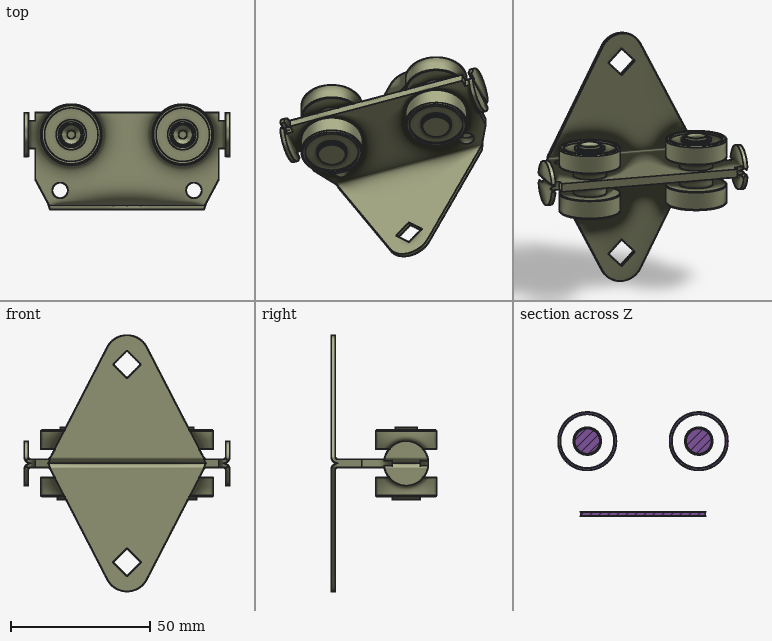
import cadquery as cq
import math

sheet = 1.5
bend_inner_radius = 0.8
bend_outer_radius = bend_inner_radius + sheet
bend_angle = 90.0

base_half_width = 33.0
base_back_y = 8.0
base_taper_y = -16.0
front_y = -26.9
front_bend_y = front_y + bend_outer_radius
mount_hole_diameter = 5.5
mount_hole_x = 24.0
mount_hole_y = -20.0

bend_half_width = 28.4
flange_half_width = 27.4
flange_half_height = 46.015
tip_radius = 8.0
square_hole_side = 7.0
square_hole_z = 35.5

ear_outer_x = 36.9
ear_radius = 8.0
ear_bend_x = ear_outer_x - bend_outer_radius
ear_relief_angle = 53.0
neck_half_width = 5.0

axle_x = 20.0
wheel_radius = 11.0
wheel_inner_z = 5.0
wheel_outer_z = 12.0
wheel_outer_chamfer = 0.5
wheel_inner_chamfer = 0.25
recess_radius = 19.2 / 2
recess_depth = 0.8
hub_radius = 10.8 / 2
hub_collar_radius = 4.6
hub_step = 0.2
spacer_radius = 12.0 / 2

rivet_end_z = 13.0
rivet_top_radius = 8.0 / 2
rivet_head_radius = 10.0 / 2
dish_radius = 3.55
dish_floor_radius = 1.5
dish_depth = 1.6


def bent_sheet(height, width, start_angle=0.0):
    """Upper sheet turning from outward (+X) to upward, with its bend starting at X = 0."""
    def on_bend(radius, angle):
        turn = math.radians(angle)
        return (radius * math.sin(turn), bend_outer_radius - radius * math.cos(turn))

    middle_angle = (start_angle + bend_angle) / 2
    return (
        cq.Workplane("XZ")
        .moveTo(*on_bend(bend_outer_radius, start_angle))
        .threePointArc(on_bend(bend_outer_radius, middle_angle), on_bend(bend_outer_radius, bend_angle))
        .lineTo(bend_outer_radius, height)
        .lineTo(bend_inner_radius, height)
        .lineTo(*on_bend(bend_inner_radius, bend_angle))
        .threePointArc(on_bend(bend_inner_radius, middle_angle), on_bend(bend_inner_radius, start_angle))
        .close()
        .extrude(width / 2, both=True)
    )


def with_mirror(body, plane):
    return body.union(body.mirror(plane))


def make_base_plate():
    outline = [
        (base_half_width, base_back_y),
        (base_half_width, base_taper_y),
        (bend_half_width, front_bend_y),
        (-bend_half_width, front_bend_y),
        (-base_half_width, base_taper_y),
        (-base_half_width, base_back_y),
    ]
    plate = cq.Workplane("XY").polyline(outline).close().extrude(sheet, both=True)
    holes = (
        cq.Workplane("XY")
        .pushPoints([(-mount_hole_x, mount_hole_y), (mount_hole_x, mount_hole_y)])
        .circle(mount_hole_diameter / 2)
        .extrude(sheet, both=True)
    )
    return plate.cut(holes)


def make_flange_outline():
    """Prism of the upper flange outline: straight sides run tangent into the round tip."""
    tip_center_z = flange_half_height - tip_radius
    rise = tip_center_z - bend_outer_radius
    corner_to_center = math.hypot(flange_half_width, rise)
    tangent_length = math.sqrt(corner_to_center**2 - tip_radius**2)
    side_angle = math.atan2(rise, -flange_half_width) - math.asin(tip_radius / corner_to_center)
    tangent_x = flange_half_width + tangent_length * math.cos(side_angle)
    tangent_z = bend_outer_radius + tangent_length * math.sin(side_angle)
    return (
        cq.Workplane("XZ")
        .moveTo(flange_half_width, bend_outer_radius)
        .lineTo(tangent_x, tangent_z)
        .threePointArc((0, flange_half_height), (-tangent_x, tangent_z))
        .lineTo(-flange_half_width, bend_outer_radius)
        .lineTo(-bend_half_width, bend_outer_radius)
        .lineTo(-bend_half_width, 0)
        .lineTo(bend_half_width, 0)
        .lineTo(bend_half_width, bend_outer_radius)
        .close()
        .extrude(-front_y)
    )


def make_bend_trim():
    """Cutter for the +X end of the upper bend, which narrows evenly as the sheet turns upward."""
    cutter_radius = bend_outer_radius + sheet
    half_diagonal = cutter_radius / math.sqrt(2)
    sector = (
        cq.Workplane("YZ")
        .moveTo(0, 0)
        .lineTo(-cutter_radius, 0)
        .threePointArc((-half_diagonal, half_diagonal), (0, cutter_radius))
        .close()
    )
    return sector.twistExtrude(bend_half_width - flange_half_width, bend_angle).translate(
        (flange_half_width, front_bend_y, bend_outer_radius)
    )


def make_front_flange():
    square_hole = (
        cq.Workplane("XZ")
        .center(0, square_hole_z)
        .polygon(4, square_hole_side * math.sqrt(2))
        .extrude(-front_y)
    )
    upper = (
        bent_sheet(flange_half_height, 2 * bend_half_width)
        .rotate((0, 0, 0), (0, 0, 1), -90)
        .translate((0, front_bend_y, 0))
        .intersect(make_flange_outline())
        .cut(with_mirror(make_bend_trim(), "YZ"))
        .cut(square_hole)
    )
    return with_mirror(upper, "XY")


def make_ear():
    """Guide ear at the +X end: a narrow neck that forks into a split round disc."""
    neck_bend = bent_sheet(ear_radius, 2 * neck_half_width)
    wide_part = bent_sheet(ear_radius, 2 * ear_radius, ear_relief_angle)
    disc = cq.Workplane("YZ").circle(ear_radius).extrude(bend_outer_radius)
    fork = with_mirror(neck_bend.union(wide_part), "XY").intersect(disc)
    neck_length = ear_bend_x - base_half_width
    neck = cq.Workplane("XY").box(neck_length, 2 * neck_half_width, 2 * sheet)
    return fork.translate((ear_bend_x, 0, 0)).union(
        neck.translate((base_half_width + neck_length / 2, 0, 0))
    )


def revolve_about_z(half_section):
    return cq.Workplane("XZ").polyline(half_section).close().revolve(360, (0, 0), (0, 1))


def make_wheel():
    """Upper wheel, its spacer down to the plate and its raised hub, around the Z axis."""
    recess_z = wheel_outer_z - recess_depth
    half_section = [
        (0, sheet),
        (spacer_radius, sheet),
        (spacer_radius, wheel_inner_z),
        (wheel_radius - wheel_inner_chamfer, wheel_inner_z),
        (wheel_radius, wheel_inner_z + wheel_inner_chamfer),
        (wheel_radius, wheel_outer_z - wheel_outer_chamfer),
        (wheel_radius - wheel_outer_chamfer, wheel_outer_z),
        (recess_radius, wheel_outer_z),
        (recess_radius, recess_z),
        (hub_radius, recess_z),
        (hub_radius, wheel_outer_z - hub_step),
        (hub_collar_radius, wheel_outer_z - hub_step),
        (hub_collar_radius, wheel_outer_z),
        (0, wheel_outer_z),
    ]
    return revolve_about_z(half_section)


def make_rivet():
    """Rivet through both wheels: dished at the upper end, plain wider head at the lower end."""
    half_section = [
        (0, -rivet_end_z),
        (rivet_head_radius, -rivet_end_z),
        (rivet_head_radius, -wheel_outer_z),
        (rivet_top_radius, -wheel_outer_z),
        (rivet_top_radius, rivet_end_z),
        (0, rivet_end_z),
    ]
    return revolve_about_z(half_section)


def make_dish():
    """Conical hollow with a flat floor in the upper end of the rivet."""
    half_section = [
        (0, rivet_end_z - dish_depth),
        (dish_floor_radius, rivet_end_z - dish_depth),
        (dish_radius, rivet_end_z),
        (0, rivet_end_z),
    ]
    return revolve_about_z(half_section)


wheel_pair = with_mirror(make_wheel(), "XY").union(make_rivet()).cut(make_dish())

result = make_base_plate().union(make_front_flange()).union(with_mirror(make_ear(), "YZ"))
for x in (-axle_x, axle_x):
    result = result.union(wheel_pair.translate((x, 0, 0)))